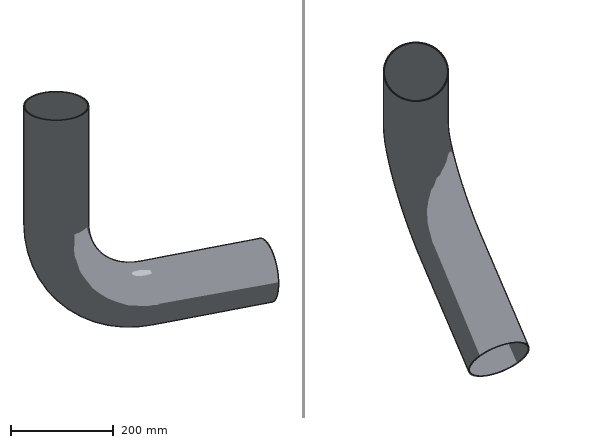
import cadquery as cq

OUTER_DIAMETER = 127.0
INNER_DIAMETER = 122.78

BEND_RADIUS = 1.5 * OUTER_DIAMETER
LEG_LENGTH = 2.0 * OUTER_DIAMETER


def tube_section(plane):
    """Annular cross-section of the tube, centred on the given plane."""
    return cq.Workplane(plane).circle(OUTER_DIAMETER / 2).circle(INNER_DIAMETER / 2)


def vertical_leg():
    """Straight leg rising along +Z from the upper end of the bend."""
    bend_end = cq.Plane(origin=(0, 0, BEND_RADIUS), xDir=(1, 0, 0), normal=(0, 0, 1))
    return tube_section(bend_end).extrude(LEG_LENGTH)


def horizontal_leg():
    """Straight leg running along +Y from the lower end of the bend."""
    bend_end = cq.Plane(origin=(0, BEND_RADIUS, 0), xDir=(1, 0, 0), normal=(0, 1, 0))
    return tube_section(bend_end).extrude(LEG_LENGTH)


def elbow():
    """Quarter torus turning from the vertical leg into the horizontal leg."""
    bend_end = cq.Plane(origin=(0, 0, BEND_RADIUS), xDir=(1, 0, 0), normal=(0, 0, 1))
    axis_start = (0, BEND_RADIUS)
    axis_end = (1, BEND_RADIUS)
    return tube_section(bend_end).revolve(90, axis_start, axis_end)


result = elbow().union(vertical_leg()).union(horizontal_leg())